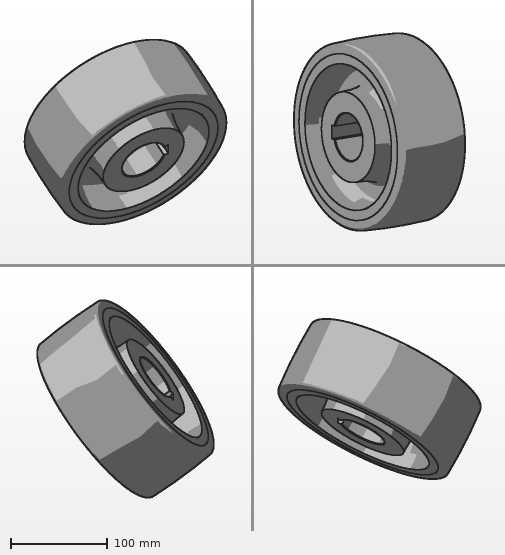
import cadquery as cq
import math

WIDTH = 80.0
HALF_WIDTH = WIDTH / 2

CROWN_RADIUS = 99.8
SHOULDER_RADIUS = 98.5
TYRE_EDGE_FILLET = 3.0
SEAT_RADIUS = 87.5

RIM_MOUTH_RADIUS = 76.9
HUB_FACE_RADIUS = 47.5
MOUTH_DEPTH = 17.2
MOUTH_DRAFT = 1.0
STEEP_DRAFT_ANGLE = 12.0
WEB_THICKNESS = 10.8
WEB_FILLET = 6.0

BORE_RADIUS = 25.0
BORE_CHAMFER = 0.8
KEYWAY_WIDTH = 14.4
KEYWAY_TOP = 29.0

X_AXIS = ((0, 0, 0), (1, 0, 0))


def cylinder(radius):
    """Full-width cylinder around the axle."""
    return cq.Workplane("YZ").circle(radius).extrude(HALF_WIDTH, both=True)


def make_tyre():
    """Crowned ring with rounded outer edges."""
    profile = (
        cq.Workplane("XY")
        .moveTo(-HALF_WIDTH, SEAT_RADIUS)
        .lineTo(-HALF_WIDTH, SHOULDER_RADIUS)
        .threePointArc((0, CROWN_RADIUS), (HALF_WIDTH, SHOULDER_RADIUS))
        .lineTo(HALF_WIDTH, SEAT_RADIUS)
        .close()
    )
    ring = profile.revolve(360, *X_AXIS)
    outer_edges = cq.selectors.RadiusNthSelector(-1)
    for side in ("<X", ">X"):
        ring = ring.faces(side).edges(outer_edges).fillet(TYRE_EDGE_FILLET)
    return ring


def make_pocket():
    """Annular recess on the -X side, down to the web."""
    mouth_x = -HALF_WIDTH
    step_x = mouth_x + MOUTH_DEPTH
    floor_x = -WEB_THICKNESS / 2
    floor_draft = MOUTH_DRAFT + (floor_x - step_x) * math.tan(math.radians(STEEP_DRAFT_ANGLE))
    profile = cq.Workplane("XY").polyline([
        (mouth_x, HUB_FACE_RADIUS),
        (step_x, HUB_FACE_RADIUS + MOUTH_DRAFT),
        (floor_x, HUB_FACE_RADIUS + floor_draft),
        (floor_x, RIM_MOUTH_RADIUS - floor_draft),
        (step_x, RIM_MOUTH_RADIUS - MOUTH_DRAFT),
        (mouth_x, RIM_MOUTH_RADIUS),
    ]).close()
    pocket = profile.revolve(360, *X_AXIS)
    return pocket.faces(">X").edges().fillet(WEB_FILLET)


def make_keyway():
    """Full-width slot on the +Y side of the bore."""
    return cq.Workplane("XY").box(
        WIDTH, KEYWAY_TOP, KEYWAY_WIDTH, centered=(True, False, True)
    )


def make_wheel_centre():
    """Hub, web and rim in one piece, with a chamfered, keyed bore."""
    pocket = make_pocket()
    centre = cylinder(SEAT_RADIUS).cut(pocket).cut(pocket.mirror("YZ"))
    centre = centre.cut(cylinder(BORE_RADIUS))
    bore_edge = cq.selectors.RadiusNthSelector(0)
    for side in ("<X", ">X"):
        centre = centre.faces(side).edges(bore_edge).chamfer(BORE_CHAMFER)
    return centre.cut(make_keyway())


tyre = make_tyre()
wheel_centre = make_wheel_centre()

result = cq.Compound.makeCompound([tyre.val(), wheel_centre.val()])